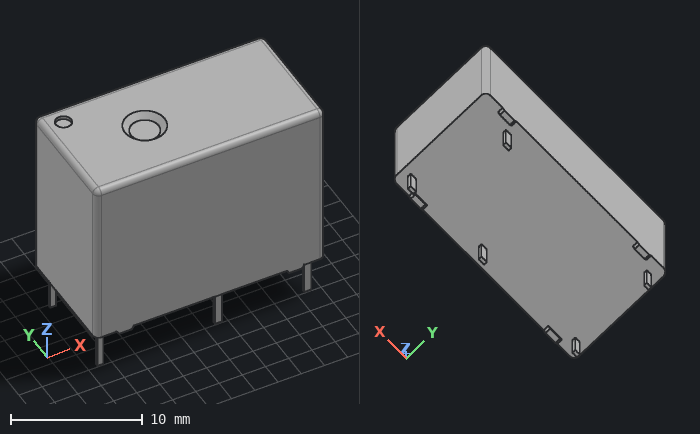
import cadquery as cq

case_length = 19.8
case_width = 9.92
case_height = 14.89
edge_radius = 0.5

dish_x = -2.99
dish_top_diameter = 3.4
dish_floor_diameter = 2.38
dish_depth = 0.5
marker_x = -8.22
marker_y = 3.29
marker_diameter = 1.3
marker_depth = 0.3

foot_x = 7.33
foot_length = 1.48
foot_tip_length = 1.09
foot_height = 0.3
foot_width = edge_radius

pin_length = 3.8
pin_thickness = 0.3
row_y = 3.78
coil_pin_width = 0.5
contact_pin_width = 0.6
coil_pin_x = -8.91
common_pin_x = 1.25
closed_pin_x = 6.35
open_pin_x = 8.93
pins = [
    (coil_pin_x, -row_y, coil_pin_width),
    (coil_pin_x, row_y, coil_pin_width),
    (common_pin_x, -row_y, contact_pin_width),
    (closed_pin_x, row_y, contact_pin_width),
    (open_pin_x, -row_y, contact_pin_width),
]


def make_case():
    """Solid block rounded on its upright and top edges; the bottom edges stay sharp."""
    block = cq.Workplane("XY").box(case_length, case_width, case_height, centered=(True, True, False))
    return block.edges("|Z or >Z").fillet(edge_radius)


def make_dish():
    """Cutter for the conical recess, narrowing down to a flat floor."""
    return (
        cq.Workplane("XY", origin=(dish_x, 0, case_height - dish_depth))
        .circle(dish_floor_diameter / 2)
        .workplane(offset=dish_depth)
        .circle(dish_top_diameter / 2)
        .loft()
    )


def make_marker():
    """Cutter for the shallow round recess that marks one corner."""
    return (
        cq.Workplane("XY", origin=(marker_x, marker_y, case_height - marker_depth))
        .circle(marker_diameter / 2)
        .extrude(marker_depth)
    )


def make_foot(x, side):
    """Foot with sloped ends, flush with the case wall on the given side of Y."""
    outline = [
        (x - foot_length / 2, 0),
        (x - foot_tip_length / 2, -foot_height),
        (x + foot_tip_length / 2, -foot_height),
        (x + foot_length / 2, 0),
    ]
    middle_y = side * (case_width - foot_width) / 2
    profile = cq.Workplane("XZ", origin=(0, middle_y, 0)).polyline(outline).close()
    return profile.extrude(foot_width / 2, both=True)


def make_pin(x, y, width):
    """Straight flat pin hanging from the underside of the case."""
    return cq.Workplane("XY", origin=(x, y, 0)).rect(width, pin_thickness).extrude(-pin_length)


result = make_case().cut(make_dish()).cut(make_marker())
for end in (-1, 1):
    for side in (-1, 1):
        result = result.union(make_foot(end * foot_x, side))
for x, y, width in pins:
    result = result.union(make_pin(x, y, width))